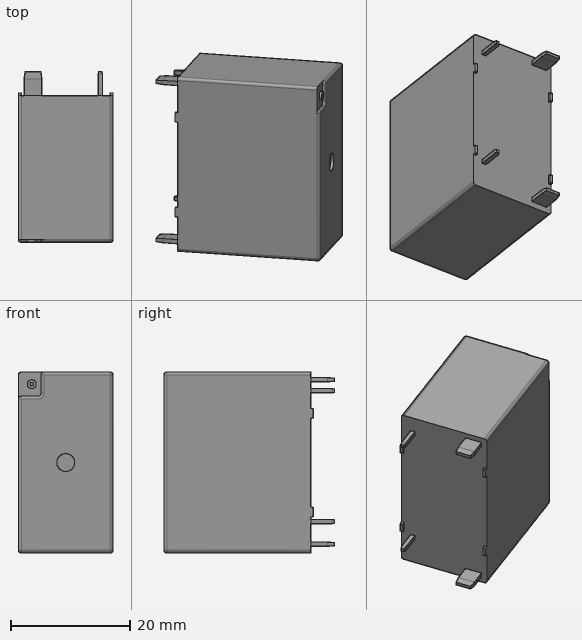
import cadquery as cq

CASE_WIDTH = 15.9
CASE_DEPTH = 24.65
CASE_HEIGHT = 30.4
OVERALL_DEPTH = 28.65
EDGE_RADIUS = 0.5
RIGHT = CASE_WIDTH / 2
LEFT = -RIGHT
TOP = CASE_HEIGHT / 2

RECESS_WIDTH = 3.8
RECESS_HEIGHT = 4.05
RECESS_DEPTH = EDGE_RADIUS
BOSS_X = LEFT + 2.25
BOSS_Z = TOP - 2.05
BOSS_RADIUS = 0.75
BOSS_HEIGHT = 0.4
BOSS_HOLE_RADIUS = 0.3
BOSS_HOLE_DEPTH = 0.2

DIMPLE_RADIUS = 1.5
DIMPLE_DEPTH = 0.5

TERMINAL_LENGTH = OVERALL_DEPTH - CASE_DEPTH
BLADE_WIDTH = 3.0
BLADE_THICKNESS = 0.75
BLADE_TIP_LENGTH = 1.2
BLADE_TIP_WIDTH_INSET = 0.15
BLADE_TIP_THICKNESS_INSET = 0.1
BLADE_X = LEFT + 2.45
BLADE_HEIGHTS = (TOP - 1.3, TOP - 28.9)
PIN_SIZE = 0.75
PIN_TIP_LENGTH = 0.4
PIN_TIP_INSET = 0.1
PIN_X = LEFT + 13.75
PIN_HEIGHTS = (TOP - 3.15, TOP - 25.1)

PAD_WIDTH = 0.5
PAD_LENGTH = 1.75
PAD_HEIGHT = 0.45
PAD_END_LEAN = 0.12
PAD_HEIGHTS = (TOP - 6.95, TOP - 23.5)


def cylinder_along_y(x, z, start_y, radius, length):
    """Cylinder that starts at start_y and runs toward +Y."""
    return cq.Workplane("XZ", origin=(x, start_y, z)).circle(radius).extrude(-length)


def make_case():
    """Box whose front slab lacks the recess corner and is rounded around its front face."""
    base = (
        cq.Workplane("XY")
        .box(CASE_WIDTH, CASE_DEPTH - RECESS_DEPTH, CASE_HEIGHT, centered=(True, False, True))
        .translate((0, RECESS_DEPTH, 0))
        .edges("|Y")
        .fillet(EDGE_RADIUS)
    )
    slab = (
        cq.Workplane("XZ")
        .moveTo(LEFT, -TOP)
        .lineTo(RIGHT, -TOP)
        .lineTo(RIGHT, TOP)
        .lineTo(LEFT + RECESS_WIDTH, TOP)
        .lineTo(LEFT + RECESS_WIDTH, TOP - RECESS_HEIGHT)
        .lineTo(LEFT, TOP - RECESS_HEIGHT)
        .close()
        .extrude(-2 * RECESS_DEPTH)
        .edges("|Y")
        .fillet(EDGE_RADIUS)
        .faces("<Y")
        .edges()
        .fillet(EDGE_RADIUS)
    )
    return base.union(slab)


def make_boss():
    """Round boss with a small blind hole, standing on the recess floor."""
    face_y = RECESS_DEPTH - BOSS_HEIGHT
    boss = cylinder_along_y(BOSS_X, BOSS_Z, face_y, BOSS_RADIUS, BOSS_HEIGHT)
    hole = cylinder_along_y(BOSS_X, BOSS_Z, face_y, BOSS_HOLE_RADIUS, BOSS_HOLE_DEPTH)
    return boss.cut(hole)


def make_terminal(x, z, width, thickness, tip_length, width_inset, thickness_inset):
    """Rectangular bar on the back face whose end tapers on all four sides."""
    shank_length = TERMINAL_LENGTH - tip_length
    shank = (
        cq.Workplane("XZ", origin=(x, CASE_DEPTH, z))
        .rect(width, thickness)
        .extrude(-shank_length)
    )
    tip = (
        cq.Workplane("XZ", origin=(x, CASE_DEPTH + shank_length, z))
        .rect(width, thickness)
        .workplane(offset=-tip_length)
        .rect(width - 2 * width_inset, thickness - 2 * thickness_inset)
        .loft(combine=True)
    )
    return shank.union(tip)


def make_pad(side, z):
    """Stand-off pad flush with one side of the case; its two ends lean inward toward the tip."""
    half_root = PAD_LENGTH / 2
    half_tip = half_root - PAD_END_LEAN
    tip_y = CASE_DEPTH + PAD_HEIGHT
    return (
        cq.Workplane("YZ", origin=(side * (CASE_WIDTH - PAD_WIDTH) / 2, 0, z))
        .moveTo(CASE_DEPTH, -half_root)
        .lineTo(tip_y, -half_tip)
        .lineTo(tip_y, half_tip)
        .lineTo(CASE_DEPTH, half_root)
        .close()
        .extrude(PAD_WIDTH / 2, both=True)
    )


result = make_case().union(make_boss())
result = result.cut(cylinder_along_y(0, 0, 0, DIMPLE_RADIUS, DIMPLE_DEPTH))
for blade_z in BLADE_HEIGHTS:
    result = result.union(
        make_terminal(
            BLADE_X,
            blade_z,
            BLADE_WIDTH,
            BLADE_THICKNESS,
            BLADE_TIP_LENGTH,
            BLADE_TIP_WIDTH_INSET,
            BLADE_TIP_THICKNESS_INSET,
        )
    )
for pin_z in PIN_HEIGHTS:
    result = result.union(
        make_terminal(PIN_X, pin_z, PIN_SIZE, PIN_SIZE, PIN_TIP_LENGTH, PIN_TIP_INSET, PIN_TIP_INSET)
    )
for pad_z in PAD_HEIGHTS:
    for side in (-1, 1):
        result = result.union(make_pad(side, pad_z))